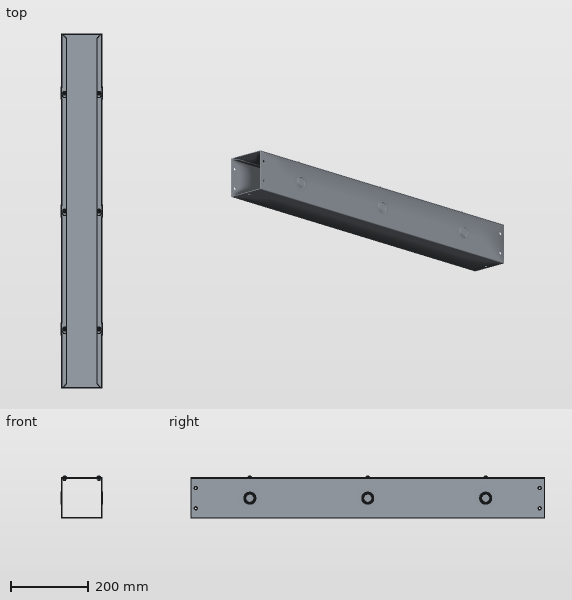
import cadquery as cq
import math

OVERALL_WIDTH = 108.15
OVERALL_HEIGHT = 108.94
LENGTH = 914.4
SHEET = 1.52
TOP = OVERALL_HEIGHT / 2
BOTTOM = -OVERALL_HEIGHT / 2

INNER_WIDTH = 101.6
TROUGH_WIDTH = INNER_WIDTH + 2 * SHEET
CLOSED_HEIGHT = TROUGH_WIDTH
TROUGH_HEIGHT = CLOSED_HEIGHT - SHEET
TROUGH_MIDDLE = BOTTOM + TROUGH_HEIGHT / 2
TROUGH_TOP = BOTTOM + TROUGH_HEIGHT
COVER_TOP = BOTTOM + CLOSED_HEIGHT
BEND_INNER_RADIUS = SHEET / 2
BEND_OUTER_RADIUS = BEND_INNER_RADIUS + SHEET
LIP_WIDTH = 13.0
LIP_CHAMFER_X = 10.0
LIP_CHAMFER_Y = 11.0

END_HOLE_DIAMETER = 7.1
END_HOLE_INSET = 12.7
SIDE_HOLE_SPACING = 52.4
SIDE_CENTRE = BOTTOM + 51.6

STATION_PITCH = 304.8
STATIONS = (-STATION_PITCH, 0, STATION_PITCH)
SIDES = (-1, 1)
ENDS = (-1, 1)

RING_OUTER_DIAMETER = 31.0
RING_INNER_DIAMETER = 26.4
DISC_DIAMETER = 21.6
KNOCKOUT_RISE = (OVERALL_WIDTH - TROUGH_WIDTH) / 2

SCREW_X = 44.2
SHANK_DIAMETER = 4.8
SHANK_LENGTH = 7.8
DOME_RADIUS = 5.0
RECESS_SPAN = 6.4
RECESS_WIDTH = 1.2
RECESS_DEPTH = 2.0
RECESS_CORNER_RADIUS = RECESS_WIDTH / math.sqrt(2)
TIP_LOSS = DOME_RADIUS - math.sqrt(DOME_RADIUS**2 - RECESS_CORNER_RADIUS**2)
HEAD_HEIGHT = TOP - COVER_TOP + TIP_LOSS

KEYHOLE_DIAMETER = 10.5
KEYHOLE_OFFSET = 6.6


def rounded_bar(width, height, radius):
    """Bar along the whole length with rounded long edges."""
    bar = cq.Workplane("XY", origin=(0, 0, TROUGH_MIDDLE)).box(width, LENGTH, height)
    return bar.edges("|Y").fillet(radius)


def lip_opening():
    """Opening between the lips, flared at both ends by the lip corner chamfers."""
    half_width = TROUGH_WIDTH / 2 - LIP_WIDTH
    half_length = LENGTH / 2
    flared = half_width + LIP_CHAMFER_X
    shoulder = half_length - LIP_CHAMFER_Y
    far_end = [(half_width, shoulder), (flared, half_length)]
    right = [(x, -y) for x, y in reversed(far_end)] + far_end
    left = [(-x, -y) for x, y in right]
    outline = cq.Workplane("XY", origin=(0, 0, TROUGH_TOP)).polyline(right + left).close()
    return outline.extrude(-SHEET)


def knockout(side, y):
    """Raised ring and disc on one wall; side is -1 or +1 along X."""
    wall = cq.Plane((side * TROUGH_WIDTH / 2, y, SIDE_CENTRE), (0, 1, 0), (side, 0, 0))
    face = cq.Workplane(wall)
    ring = face.circle(RING_OUTER_DIAMETER / 2).circle(RING_INNER_DIAMETER / 2).extrude(KNOCKOUT_RISE)
    disc = face.circle(DISC_DIAMETER / 2).extrude(KNOCKOUT_RISE)
    return ring.add(disc).combine()


def end_holes(end):
    """Cutters for the joining holes near one end."""
    y = end * (LENGTH / 2 - END_HOLE_INSET)
    radius = END_HOLE_DIAMETER / 2
    walls = (
        cq.Workplane("YZ", origin=(0, y, SIDE_CENTRE))
        .rarray(1, SIDE_HOLE_SPACING, 1, 2)
        .circle(radius)
        .extrude(TROUGH_WIDTH / 2, both=True)
    )
    floor = cq.Workplane("XY", origin=(0, y, BOTTOM)).circle(radius).extrude(SHEET)
    return walls.add(floor).combine()


def screw_places():
    return [(side * SCREW_X, y) for side in SIDES for y in STATIONS]


def make_trough():
    tube = rounded_bar(TROUGH_WIDTH, TROUGH_HEIGHT, BEND_OUTER_RADIUS)
    inside = rounded_bar(INNER_WIDTH, TROUGH_HEIGHT - 2 * SHEET, BEND_INNER_RADIUS)
    trough = tube.cut(inside).cut(lip_opening())
    for side in SIDES:
        for y in STATIONS:
            trough = trough.union(knockout(side, y))
    for end in ENDS:
        trough = trough.cut(end_holes(end))
    screw_holes = (
        cq.Workplane("XY", origin=(0, 0, TROUGH_TOP))
        .pushPoints(screw_places())
        .circle(SHANK_DIAMETER / 2)
        .extrude(-SHEET)
    )
    return trough.cut(screw_holes)


def keyhole(x, y):
    """Cutter for one keyhole, its narrow end fitting the shank."""
    base = cq.Workplane("XY", origin=(x, y, TROUGH_TOP))
    narrow_end = base.circle(SHANK_DIAMETER / 2).extrude(SHEET)
    slot = base.center(0, -KEYHOLE_OFFSET / 2).rect(SHANK_DIAMETER, KEYHOLE_OFFSET).extrude(SHEET)
    opening = base.center(0, -KEYHOLE_OFFSET).circle(KEYHOLE_DIAMETER / 2).extrude(SHEET)
    return narrow_end.union(slot).union(opening)


def make_cover():
    cover = cq.Workplane("XY", origin=(0, 0, TROUGH_TOP)).rect(TROUGH_WIDTH, LENGTH).extrude(SHEET)
    for x, y in screw_places():
        cover = cover.cut(keyhole(x, y))
    return cover


def make_screw(x, y):
    dome_centre = HEAD_HEIGHT - DOME_RADIUS
    rim_radius = math.sqrt(DOME_RADIUS**2 - dome_centre**2)
    diagonal = DOME_RADIUS / math.sqrt(2)
    dome_mid = (diagonal, dome_centre + diagonal)
    screw = (
        cq.Workplane("XZ")
        .lineTo(rim_radius, 0)
        .threePointArc(dome_mid, (0, HEAD_HEIGHT))
        .close()
        .revolve(360, (0, 0, 0), (0, 1, 0))
    )
    for span in ((RECESS_SPAN, RECESS_WIDTH), (RECESS_WIDTH, RECESS_SPAN)):
        recess = cq.Workplane("XY", origin=(0, 0, HEAD_HEIGHT)).rect(*span).extrude(-RECESS_DEPTH)
        screw = screw.cut(recess)
    shank = cq.Workplane("XY").circle(SHANK_DIAMETER / 2).extrude(-SHANK_LENGTH)
    return screw.union(shank).translate((x, y, COVER_TOP))


trough = make_trough()
cover = make_cover()
screws = [make_screw(x, y).val() for x, y in screw_places()]

result = cq.Compound.makeCompound([trough.val(), cover.val(), *screws])